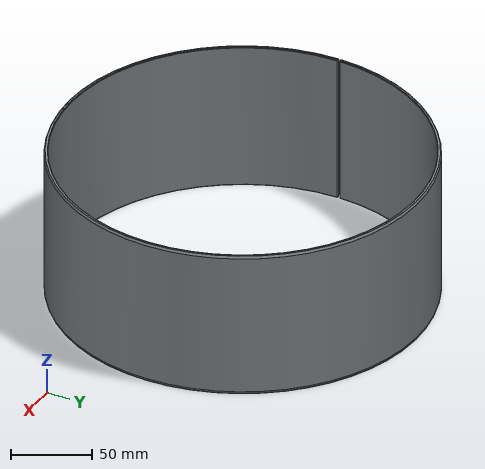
import cadquery as cq

outer_diameter = 245.0
height = 100.0
wall = 2.5
outer_bevel_width = 0.65
outer_bevel_height = 1.7
inner_chamfer = 0.4
gap_width = 2.0

outer_radius = outer_diameter / 2
inner_radius = outer_radius - wall
rim_outer_radius = outer_radius - outer_bevel_width
rim_inner_radius = inner_radius + inner_chamfer


def beveled_ring():
    """Thin ring standing on Z = 0, beveled along its outer and inner rims."""
    profile = [
        (inner_radius, inner_chamfer),
        (rim_inner_radius, 0),
        (rim_outer_radius, 0),
        (outer_radius, outer_bevel_height),
        (outer_radius, height - outer_bevel_height),
        (rim_outer_radius, height),
        (rim_inner_radius, height),
        (inner_radius, height - inner_chamfer),
    ]
    return cq.Workplane("XZ").polyline(profile).close().revolve(360, (0, 0), (0, 1))


def split_cutter():
    """Full-height slot through the -X wall, with one face on the XZ plane."""
    slot = cq.Workplane("XY").box(outer_diameter, gap_width, height, centered=False)
    return slot.translate((-outer_diameter, 0, 0))


result = beveled_ring().cut(split_cutter())